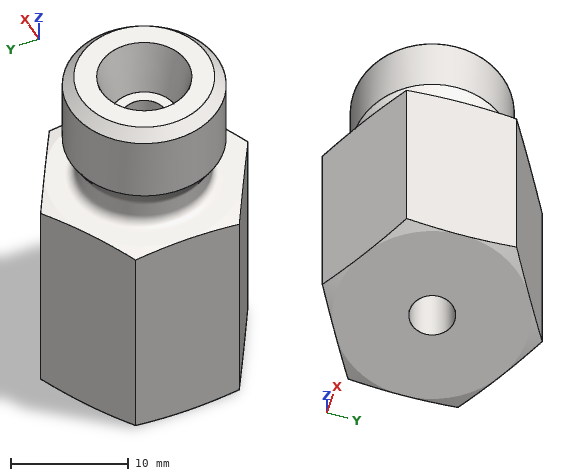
import cadquery as cq
import math

total_height = 33.0
hex_across_flats = 17.0
hex_height = 21.0
hex_across_corners = hex_across_flats / math.cos(math.radians(30))
hex_chamfer_angle = 15.0

spigot_diameter = 14.0
spigot_chamfer = 1.0
spigot_length = 7.4
neck_diameter = 11.7
neck_fillet = 1.0
undercut_angle = 30.0

bore_diameter = 4.0
seat_diameter = 6.0
mouth_diameter = 8.12
mouth_half_angle = 12.0


def revolve_profile(points):
    """Revolve a closed radius/height outline about the Z axis."""
    return cq.Workplane("XZ").polyline(points).close().revolve(360, (0, 0, 0), (0, 1, 0))


def make_hexagon():
    """Hexagon with two flats facing X and its corners chamfered at both ends."""
    hexagon = (
        cq.Workplane("XY")
        .polygon(6, hex_across_corners)
        .extrude(hex_height)
        .rotate((0, 0, 0), (0, 0, 1), 30)
    )
    face_radius = hex_across_flats / 2
    outer_radius = hex_across_corners
    drop = (outer_radius - face_radius) * math.tan(math.radians(hex_chamfer_angle))
    envelope = revolve_profile([
        (0, 0),
        (face_radius, 0),
        (outer_radius, drop),
        (outer_radius, hex_height - drop),
        (face_radius, hex_height),
        (0, hex_height),
    ])
    return hexagon.intersect(envelope)


def make_spigot():
    """Chamfered spigot, undercut cone and neck, with both neck ends rounded."""
    radius = spigot_diameter / 2
    neck_radius = neck_diameter / 2
    undercut_start = total_height - spigot_length
    undercut_slope = math.radians(undercut_angle)
    neck_top = undercut_start - (radius - neck_radius) / math.tan(undercut_slope)

    tangent_length = neck_fillet * math.tan(undercut_slope / 2)
    fillet_on_neck = (neck_radius, neck_top - tangent_length)
    fillet_on_cone = (
        neck_radius + tangent_length * math.sin(undercut_slope),
        neck_top + tangent_length * math.cos(undercut_slope),
    )
    arc_inset = neck_fillet * (1 - math.cos(undercut_slope / 2))
    arc_rise = neck_fillet * math.sin(undercut_slope / 2)
    upper_arc_middle = (neck_radius + arc_inset, fillet_on_neck[1] + arc_rise)

    base_fillet_offset = neck_fillet * (1 - math.cos(math.radians(45)))
    lower_arc_middle = (neck_radius + base_fillet_offset, hex_height + base_fillet_offset)

    return (
        cq.Workplane("XZ")
        .moveTo(0, hex_height)
        .lineTo(neck_radius + neck_fillet, hex_height)
        .threePointArc(lower_arc_middle, (neck_radius, hex_height + neck_fillet))
        .lineTo(*fillet_on_neck)
        .threePointArc(upper_arc_middle, fillet_on_cone)
        .lineTo(radius, undercut_start)
        .lineTo(radius, total_height - spigot_chamfer)
        .lineTo(radius - spigot_chamfer, total_height)
        .lineTo(0, total_height)
        .close()
        .revolve(360, (0, 0, 0), (0, 1, 0))
    )


def make_bore():
    """Through bore with a tapered mouth that ends on a flat seat."""
    mouth_depth = (mouth_diameter - seat_diameter) / 2 / math.tan(math.radians(mouth_half_angle))
    seat_height = total_height - mouth_depth
    return revolve_profile([
        (0, 0),
        (bore_diameter / 2, 0),
        (bore_diameter / 2, seat_height),
        (seat_diameter / 2, seat_height),
        (mouth_diameter / 2, total_height),
        (0, total_height),
    ])


result = make_hexagon().union(make_spigot()).cut(make_bore())